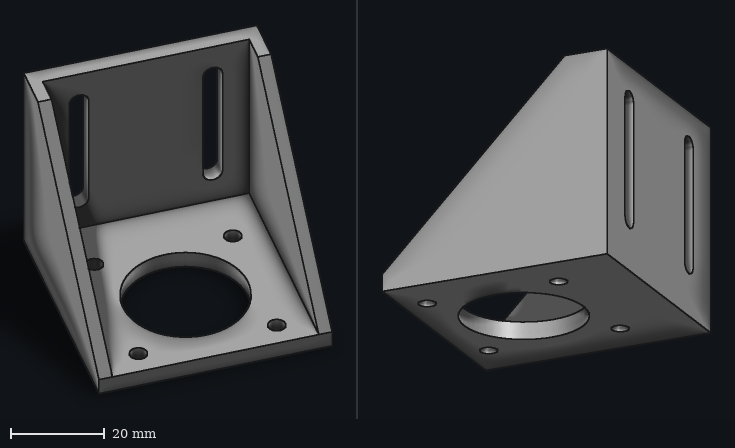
import cadquery as cq

length = 53.1
width = 52.3
height = 47.0

back_thickness = 4.0
side_thickness = 3.05
floor_thickness = 4.0

top_flat = 10.1
front_height = 4.0

bore_diameter = 28.0
bore_x = 31.9
screw_diameter = 3.8
screw_spacing = 31.0

slot_width = 4.35
slot_length = 31.3
slot_spacing = 30.0
slot_center_z = 25.45


def make_body():
    """Triangular side profile extruded over the full width."""
    return (
        cq.Workplane("XZ")
        .moveTo(0, 0)
        .lineTo(length, 0)
        .lineTo(length, front_height)
        .lineTo(top_flat, height)
        .lineTo(0, height)
        .close()
        .extrude(width / 2, both=True)
    )


def make_cavity():
    """Space between the side walls, open at the top and front."""
    return cq.Workplane("XY").box(
        length, width - 2 * side_thickness, height, centered=(False, True, False)
    ).translate((back_thickness, 0, floor_thickness))


def make_floor_holes():
    """Large bore with a square pattern of screw holes around it."""
    floor = cq.Workplane("XY").center(bore_x, 0)
    bore = floor.circle(bore_diameter / 2).extrude(floor_thickness)
    screws = (
        floor.rect(screw_spacing, screw_spacing, forConstruction=True)
        .vertices()
        .circle(screw_diameter / 2)
        .extrude(floor_thickness)
    )
    return bore.union(screws)


def make_slots():
    """Pair of vertical slots through the back plate."""
    return (
        cq.Workplane("YZ")
        .pushPoints([(side * slot_spacing / 2, slot_center_z) for side in (-1, 1)])
        .slot2D(slot_length, slot_width, 90)
        .extrude(back_thickness)
    )


result = make_body().cut(make_cavity()).cut(make_floor_holes()).cut(make_slots())